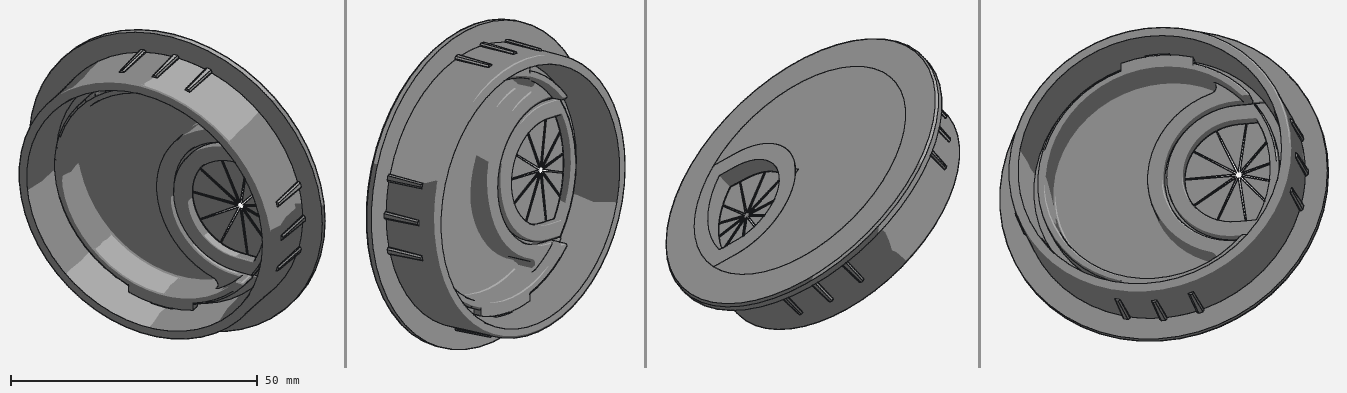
import cadquery as cq
import math


TOLERANCE = 0.001

FLANGE_RADIUS = 34.0
RIM_HEIGHT = 1.2
DOME_EDGE_RADIUS = 33.6
DOME_EDGE_HEIGHT = 1.8
TOTAL_DEPTH = 15.5
SLEEVE_DEPTH = 13.0
DOME_HEIGHT = TOTAL_DEPTH - SLEEVE_DEPTH
DOME_SAG = DOME_HEIGHT - DOME_EDGE_HEIGHT
DOME_SPHERE_RADIUS = (DOME_EDGE_RADIUS**2 + DOME_SAG**2) / (2 * DOME_SAG)

SLEEVE_RADIUS = 29.45
SLEEVE_END_RADIUS = 29.3
SLEEVE_END_FILLET = 0.5
BORE_END_RADIUS = 27.35

RIB_ANGLES = [quarter + offset for quarter in (0, 90, 180, 270) for offset in (-15, 0, 15)]
RIB_LENGTH = 8.85
RIB_RADIUS = 30.05
RIB_END_RADIUS = 29.8
RIB_ROOT_RADIUS = 28.55
RIB_WIDTH = 1.55
RIB_END_WIDTH = 1.15
RIB_CREST_CHAMFER = 0.35

LID_RADIUS = 26.4
LID_BACK = 2.4
LID_THICKNESS = 1.6
CUP_RADIUS = 24.8
CUP_DEPTH = 6.25
LID_EDGE_FILLET = 0.5
POCKET_RADIUS = 22.85
CUP_MOUTH_RADIUS = 23.2
FLOOR_HEIGHT = DOME_HEIGHT - LID_THICKNESS
CUP_WALL_DRAFT = (CUP_MOUTH_RADIUS - POCKET_RADIUS) / (CUP_DEPTH + FLOOR_HEIGHT)
PLATEAU_DEPTH = 3.75
PLATEAU_RADIUS = 18.55
POCKET_TIP_FILLET = 1.35
POCKET_FLOOR_FILLET = 0.55
PLATEAU_EDGE_FILLET = 0.55

TAB_WIDTH = 14.95
TAB_RADIUS = 26.0
TAB_THICKNESS = 1.9
NUB_WIDTH = 5.0
NUB_RADIUS = LID_RADIUS
NUB_DROP = 0.4

OUTLET_X = 16.0
SLOT_RADIUS = 15.2

INSERT_PLATE_DEPTH = 2.1
BOSS_RADIUS = 14.55
BOSS_OUTER_RADIUS = 24.6
BOSS_DEPTH = PLATEAU_DEPTH
BOSS_EDGE_FILLET = 0.35
WINDOW_RADIUS = 11.15
WINDOW_OUTER_RADIUS = 22.9
WINDOW_CORNER_FILLET = 0.4
WINDOW_EDGE_FILLET = 0.3
MEMBRANE_DEPTH = 1.8
MEMBRANE_THICKNESS = 0.2
SLIT_COUNT = 11
SLIT_WIDTH = 0.2
SLIT_HUB_WIDTH = 0.4
SLIT_HUB_RADIUS = 0.6
SLIT_LENGTH = 14.95


def dome_height(radius):
    """Height of the domed surface at a distance from the Y axis."""
    drop = DOME_SPHERE_RADIUS - math.sqrt(DOME_SPHERE_RADIUS**2 - radius**2)
    return DOME_HEIGHT - drop


def revolve_y(profile):
    """Full turn of a radius/height profile about the Y axis."""
    return profile.close().revolve(360, (0, 0, 0), (0, 1, 0))


def dome_arc(profile, start, end):
    """Add the domed top line between two radii to a profile."""
    middle = (start + end) / 2
    return profile.threePointArc((middle, dome_height(middle)), (end, dome_height(end)))


def cylinder(radius, top, bottom, x=0):
    """Cylinder along Y between two heights."""
    return cq.Workplane("XZ", origin=(x, top, 0)).circle(radius).extrude(top - bottom)


def slot_prism(arc_radius, outer_radius, top, bottom):
    """U-shaped prism, open to +X, whose outer end follows a circle about the Y axis."""
    outline = (
        cq.Workplane("XZ", origin=(0, top, 0))
        .moveTo(FLANGE_RADIUS, arc_radius)
        .lineTo(OUTLET_X, arc_radius)
        .threePointArc((OUTLET_X - arc_radius, 0), (OUTLET_X, -arc_radius))
        .lineTo(FLANGE_RADIUS, -arc_radius)
        .close()
    )
    return outline.extrude(top - bottom).intersect(cylinder(outer_radius, top, bottom))


def make_rib(angle):
    """Tapered rib with a chamfered crest, rooted inside the sleeve wall."""

    def section(sketch, width, radius):
        crest = width / 2 - RIB_CREST_CHAMFER
        shoulder = radius - RIB_CREST_CHAMFER
        points = [
            (RIB_ROOT_RADIUS, -width / 2),
            (shoulder, -width / 2),
            (radius, -crest),
            (radius, crest),
            (shoulder, width / 2),
            (RIB_ROOT_RADIUS, width / 2),
        ]
        return sketch.polyline(points).close()

    base = section(cq.Workplane("XZ"), RIB_WIDTH, RIB_RADIUS)
    rib = section(base.workplane(offset=RIB_LENGTH), RIB_END_WIDTH, RIB_END_RADIUS).loft(ruled=True)
    return rib.rotate((0, 0, 0), (0, 1, 0), angle)


def make_sleeve():
    profile = (
        cq.Workplane("XY")
        .moveTo(LID_RADIUS, -LID_BACK)
        .lineTo(BORE_END_RADIUS, -SLEEVE_DEPTH)
        .lineTo(SLEEVE_END_RADIUS, -SLEEVE_DEPTH)
        .lineTo(SLEEVE_RADIUS, 0)
        .lineTo(FLANGE_RADIUS, 0)
        .lineTo(FLANGE_RADIUS, RIM_HEIGHT)
        .lineTo(DOME_EDGE_RADIUS, DOME_EDGE_HEIGHT)
    )
    sleeve = revolve_y(dome_arc(profile, DOME_EDGE_RADIUS, LID_RADIUS))
    end_edge = sleeve.faces("<Y").edges(cq.selectors.RadiusNthSelector(-1))
    sleeve = end_edge.fillet(SLEEVE_END_FILLET)
    bore = cq.Workplane("XY").lineTo(LID_RADIUS, 0).lineTo(LID_RADIUS, -LID_BACK)
    bore = revolve_y(bore.lineTo(BORE_END_RADIUS, -SLEEVE_DEPTH).lineTo(0, -SLEEVE_DEPTH))
    for angle in RIB_ANGLES:
        sleeve = sleeve.union(make_rib(angle).cut(bore))
    return sleeve


def lid_core():
    """Domed disc with a round core standing on it up to the plateau."""
    profile = (
        cq.Workplane("XY")
        .moveTo(0, -PLATEAU_DEPTH)
        .lineTo(CUP_RADIUS, -PLATEAU_DEPTH)
        .lineTo(CUP_RADIUS, -LID_BACK)
        .lineTo(LID_RADIUS, -LID_BACK)
        .lineTo(LID_RADIUS, dome_height(LID_RADIUS))
    )
    return revolve_y(dome_arc(profile, LID_RADIUS, 0))


def pocket_wall_radius(y):
    """Radius of the drafted inner wall of the cup at a height."""
    return POCKET_RADIUS + CUP_WALL_DRAFT * (FLOOR_HEIGHT - y)


def cup_wall():
    """Ring-shaped upper part of the cup wall, drafted inside."""
    profile = (
        cq.Workplane("XY")
        .moveTo(pocket_wall_radius(-LID_BACK), -LID_BACK)
        .lineTo(CUP_MOUTH_RADIUS, -CUP_DEPTH)
        .lineTo(CUP_RADIUS, -CUP_DEPTH)
        .lineTo(CUP_RADIUS, -LID_BACK)
    )
    return revolve_y(profile)


def crescent_pocket():
    """Crescent hollow beside the plateau, with rounded tips and a rounded floor edge."""
    depth = FLOOR_HEIGHT + PLATEAU_DEPTH
    draft_angle = math.degrees(math.atan(CUP_WALL_DRAFT))
    bowl = cq.Workplane("XZ", origin=(0, FLOOR_HEIGHT, 0)).circle(POCKET_RADIUS)
    bowl = bowl.extrude(depth, taper=-draft_angle)
    plateau = cylinder(PLATEAU_RADIUS, FLOOR_HEIGHT, -PLATEAU_DEPTH, OUTLET_X)
    pocket = bowl.cut(plateau)
    upright = [edge for edge in pocket.edges().vals() if edge.BoundingBox().ylen > depth - TOLERANCE]
    tips = [edge for edge in upright if edge.Center().x > 0 and abs(edge.Center().z) > SLOT_RADIUS]
    pocket = pocket.newObject(tips).fillet(POCKET_TIP_FILLET)
    return pocket.faces(">Y").edges().fillet(POCKET_FLOOR_FILLET)


def make_tab(side):
    """Snap tab with a lower nub, reaching outwards from the rim of the cup."""

    def pad(width, radius, top, bottom):
        band = cylinder(radius, top, bottom).cut(cylinder(CUP_RADIUS - LID_EDGE_FILLET, top, bottom))
        keep = cq.Workplane("XY").box(width, 4 * CUP_DEPTH, FLANGE_RADIUS)
        return band.intersect(keep.translate((0, 0, side * FLANGE_RADIUS / 2)))

    tab_top = TAB_THICKNESS - CUP_DEPTH
    tab = pad(TAB_WIDTH, TAB_RADIUS, tab_top, -CUP_DEPTH)
    return tab.union(pad(NUB_WIDTH, NUB_RADIUS, tab_top, NUB_DROP - CUP_DEPTH))


def on_rim(edge):
    """True for the edges of the flat end of the cup wall."""
    return edge.Center().y < TOLERANCE - CUP_DEPTH


def on_slot_mouth(edge):
    """True for the edges where the slot wall meets the inner side of the lid."""

    def on_slot_wall(point):
        if point.x < OUTLET_X:
            reach = math.hypot(point.x - OUTLET_X, point.z)
        else:
            reach = abs(point.z)
        return abs(reach - SLOT_RADIUS) < TOLERANCE

    points = [edge.positionAt(fraction) for fraction in (0, 0.25, 0.5, 0.75, 1)]
    inner_side = edge.Center().y < TOLERANCE - LID_BACK
    return inner_side and all(on_slot_wall(point) for point in points)


def make_lid():
    lid = lid_core().cut(crescent_pocket())
    pocket_mouth = lid.faces("<Y").val().innerWires()[0]
    lid = lid.newObject(pocket_mouth.Edges()).fillet(PLATEAU_EDGE_FILLET)
    lid = lid.union(cup_wall())
    lid = lid.cut(slot_prism(SLOT_RADIUS, FLANGE_RADIUS, 2 * DOME_HEIGHT, -2 * CUP_DEPTH))
    exposed = [edge for edge in lid.edges().vals() if on_rim(edge) or on_slot_mouth(edge)]
    lid = lid.newObject(exposed).fillet(LID_EDGE_FILLET)
    for side in (-1, 1):
        lid = lid.union(make_tab(side))
    return lid


def slit_cutter():
    """Star of thin radial slits, slightly tapered, around a small hub hole, through the membrane."""
    top = MEMBRANE_THICKNESS - MEMBRANE_DEPTH
    star = cylinder(SLIT_HUB_RADIUS, top, -MEMBRANE_DEPTH, OUTLET_X)
    outline = [
        (0, -SLIT_HUB_WIDTH / 2),
        (0, SLIT_HUB_WIDTH / 2),
        (-SLIT_LENGTH, SLIT_WIDTH / 2),
        (-SLIT_LENGTH, -SLIT_WIDTH / 2),
    ]
    slit = cq.Workplane("XZ", origin=(OUTLET_X, top, 0)).polyline(outline).close().extrude(MEMBRANE_THICKNESS)
    for index in range(SLIT_COUNT):
        turned = slit.rotate((OUTLET_X, 0, 0), (OUTLET_X, 1, 0), index * 360 / SLIT_COUNT)
        star = star.union(turned)
    return star


def make_insert():
    plate = slot_prism(SLOT_RADIUS, LID_RADIUS, 2 * DOME_HEIGHT, -INSERT_PLATE_DEPTH)
    plate = plate.intersect(lid_core())
    boss = slot_prism(BOSS_RADIUS, BOSS_OUTER_RADIUS, 0, -BOSS_DEPTH)
    boss = boss.faces("<Y").edges().fillet(BOSS_EDGE_FILLET)
    insert = plate.union(boss)
    window = slot_prism(WINDOW_RADIUS, WINDOW_OUTER_RADIUS, 2 * DOME_HEIGHT, -BOSS_DEPTH)
    window = window.edges("|Y").edges(">X").fillet(WINDOW_CORNER_FILLET)
    membrane = window.intersect(
        cylinder(FLANGE_RADIUS, MEMBRANE_THICKNESS - MEMBRANE_DEPTH, -MEMBRANE_DEPTH)
    ).cut(slit_cutter())
    insert = insert.cut(window)
    window_mouth = insert.faces("<Y").val().innerWires()[0]
    insert = insert.newObject(window_mouth.Edges()).fillet(WINDOW_EDGE_FILLET)
    return insert.union(membrane)


sleeve = make_sleeve()
lid = make_lid()
insert = make_insert()
result = cq.Compound.makeCompound([sleeve.val(), lid.val(), insert.val()])